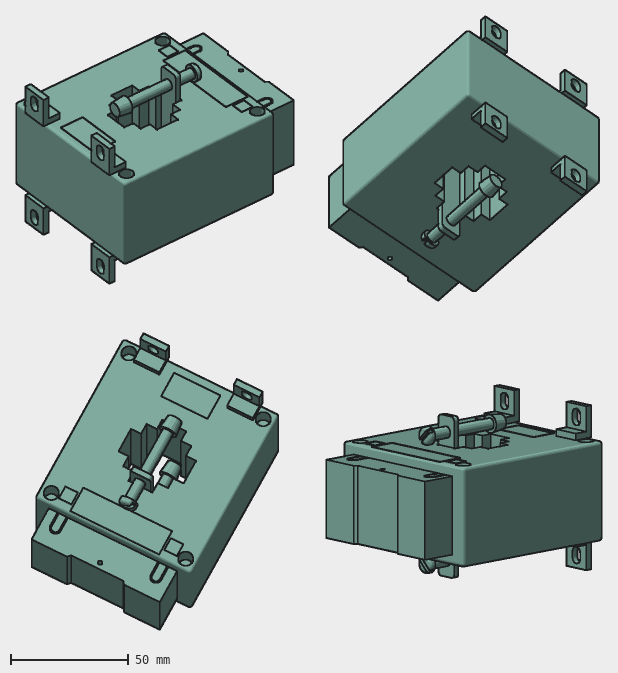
import cadquery as cq
import math


HOUSING_X = 75.0
HOUSING_Y = 81.8
HOUSING_Z = 43.5
HOUSING_FILLET = 1.5
HALF_Y = HOUSING_Y / 2
HALF_Z = HOUSING_Z / 2

WINDOW_LARGE = 15.6
WINDOW_MIDDLE = 10.8
WINDOW_SMALL = 5.7
WINDOW_STEPS = [
    (WINDOW_LARGE, WINDOW_SMALL),
    (WINDOW_MIDDLE, WINDOW_MIDDLE),
    (WINDOW_SMALL, WINDOW_LARGE),
]

POCKET_DIAMETER = 6.4
POCKET_DEPTH = 9.9
POCKET_X = 32.3
POCKET_Y = 35.7

LABEL_DEPTH = 0.2
LABEL_Y = 12.0
RATING_LABEL_X = 42.7
RATING_LABEL_CENTER_Y = 33.3
LINE_LABEL_X = 22.3
LINE_LABEL_CENTER_Y = -30.9
TERMINAL_LABEL_SIDE = 6.0
TERMINAL_LABEL_CENTER_X = 25.3
TERMINAL_LABEL_CENTER_Y = 33.4

TERMINAL_X = 61.7
TERMINAL_Z = 34.2
TERMINAL_DEPTH = 15.9
TERMINAL_END_Y = HALF_Y + TERMINAL_DEPTH
NOTCH_MOUTH_X = 27.5
NOTCH_FLOOR_X = 25.1
NOTCH_DEPTH = 1.4
SEAL_HOLE_DIAMETER = 1.9
SEAL_HOLE_Y = 52.7

ARCH_CENTER_X = 24.2
ARCH_CENTER_Y = 47.5
ARCH_OUTER_RADIUS = 2.5
ARCH_GROOVE_WIDTH = 0.6
ARCH_GROOVE_DEPTH = 0.5

FOOT_WIDTH = 12.4
FOOT_CENTER_X = 22.5
FOOT_THICKNESS = 3
FOOT_OUTER_Y = -42.2
FOOT_LENGTH = 9.0
FOOT_TOP_Z = 35.7
FOOT_SLOT_WIDTH = 4.8
FOOT_SLOT_HEIGHT = 7.2
FOOT_SLOT_Z = 30.1

BAR_WIDTH = 9.8
BAR_THICKNESS = 2.6
BAR_HALF_LENGTH = 35.1
BAR_CORNER_RADIUS = 1.8

SCREW_Z = 27.9
SHAFT_DIAMETER = 5.0
HEAD_DIAMETER = 7.9
HEAD_THICKNESS = 3
HEAD_FILLET = 1.5
HEAD_END_Y = 28.6
HEAD_SLOT_WIDTH = 1.8
HEAD_SLOT_DEPTH = 2
HEAD_SLOT_ANGLE = 45

CAP_START_Y = -9.8
CAP_LENGTH = 6.4
CAP_START_DIAMETER = 8.0
CAP_END_DIAMETER = 6.6


def mirrored_in_z(solid):
    """Return the mirror image of a body on the other side of the XY plane."""
    return solid.mirror("XY")


def housing_block():
    return cq.Workplane("XY").box(HOUSING_X, HOUSING_Y, HOUSING_Z).edges().fillet(HOUSING_FILLET)


def stepped_window():
    cutter = cq.Workplane("XY")
    for half_x, half_y in WINDOW_STEPS:
        cutter = cutter.union(cq.Workplane("XY").box(2 * half_x, 2 * half_y, HOUSING_Z))
    return cutter


def corner_pockets():
    return (
        cq.Workplane("XY", origin=(0, 0, HALF_Z))
        .rect(2 * POCKET_X, 2 * POCKET_Y, forConstruction=True)
        .vertices()
        .circle(POCKET_DIAMETER / 2)
        .extrude(-POCKET_DEPTH)
    )


def label_recess(center_x, center_y, size_x, size_y):
    return (
        cq.Workplane("XY", origin=(center_x, center_y, HALF_Z))
        .rect(size_x, size_y)
        .extrude(-LABEL_DEPTH)
    )


def label_recesses():
    recesses = label_recess(0, RATING_LABEL_CENTER_Y, RATING_LABEL_X, LABEL_Y)
    recesses = recesses.union(label_recess(0, LINE_LABEL_CENTER_Y, LINE_LABEL_X, LABEL_Y))
    for side in (-1, 1):
        terminal_label = label_recess(
            side * TERMINAL_LABEL_CENTER_X,
            TERMINAL_LABEL_CENTER_Y,
            TERMINAL_LABEL_SIDE,
            TERMINAL_LABEL_SIDE,
        )
        recesses = recesses.union(terminal_label)
    return recesses


def arch(radius):
    """Solid arch of the given radius, open towards the housing."""
    return (
        cq.Workplane("XY", origin=(ARCH_CENTER_X, 0, TERMINAL_Z / 2))
        .moveTo(-radius, HALF_Y)
        .lineTo(-radius, ARCH_CENTER_Y)
        .threePointArc((0, ARCH_CENTER_Y + radius), (radius, ARCH_CENTER_Y))
        .lineTo(radius, HALF_Y)
        .close()
        .extrude(-ARCH_GROOVE_DEPTH)
    )


def terminal_block():
    notch_floor_y = TERMINAL_END_Y - NOTCH_DEPTH
    block = (
        cq.Workplane("XY")
        .moveTo(-TERMINAL_X / 2, 0)
        .lineTo(-TERMINAL_X / 2, TERMINAL_END_Y)
        .lineTo(-NOTCH_MOUTH_X / 2, TERMINAL_END_Y)
        .lineTo(-NOTCH_FLOOR_X / 2, notch_floor_y)
        .lineTo(NOTCH_FLOOR_X / 2, notch_floor_y)
        .lineTo(NOTCH_MOUTH_X / 2, TERMINAL_END_Y)
        .lineTo(TERMINAL_X / 2, TERMINAL_END_Y)
        .lineTo(TERMINAL_X / 2, 0)
        .close()
        .extrude(TERMINAL_Z / 2, both=True)
    )
    seal_hole = (
        cq.Workplane("XY")
        .center(0, SEAL_HOLE_Y)
        .circle(SEAL_HOLE_DIAMETER / 2)
        .extrude(TERMINAL_Z / 2, both=True)
    )
    groove = arch(ARCH_OUTER_RADIUS).cut(arch(ARCH_OUTER_RADIUS - ARCH_GROOVE_WIDTH))
    return block.cut(seal_hole).cut(groove).cut(groove.mirror("YZ"))


def angle_foot(center_x):
    """L-shaped foot on the top face, with its upright plate past the -Y face."""
    upright_inner_y = FOOT_OUTER_Y + FOOT_THICKNESS
    base_top_z = HALF_Z + FOOT_THICKNESS
    profile = [
        (FOOT_OUTER_Y, HALF_Z),
        (FOOT_OUTER_Y, FOOT_TOP_Z),
        (upright_inner_y, FOOT_TOP_Z),
        (upright_inner_y, base_top_z),
        (FOOT_OUTER_Y + FOOT_LENGTH, base_top_z),
        (FOOT_OUTER_Y + FOOT_LENGTH, HALF_Z),
    ]
    angle = (
        cq.Workplane("YZ", origin=(center_x, 0, 0))
        .polyline(profile)
        .close()
        .extrude(FOOT_WIDTH / 2, both=True)
    )
    slot = (
        cq.Workplane("XZ", origin=(center_x, FOOT_OUTER_Y, FOOT_SLOT_Z))
        .slot2D(FOOT_SLOT_HEIGHT, FOOT_SLOT_WIDTH, 90)
        .extrude(-FOOT_THICKNESS)
    )
    return angle.cut(slot)


def make_housing():
    housing = housing_block().union(terminal_block())
    housing = housing.cut(stepped_window()).cut(corner_pockets()).cut(label_recesses())
    for side in (-1, 1):
        foot = angle_foot(side * FOOT_CENTER_X)
        housing = housing.union(foot).union(mirrored_in_z(foot))
    return housing


def make_clamp_bar():
    back_y = WINDOW_LARGE
    bar = (
        cq.Workplane("XZ", origin=(0, back_y, 0))
        .rect(BAR_WIDTH, 2 * BAR_HALF_LENGTH)
        .extrude(BAR_THICKNESS)
        .edges("|Y")
        .fillet(BAR_CORNER_RADIUS)
    )
    screw_holes = (
        cq.Workplane("XZ", origin=(0, back_y, 0))
        .pushPoints([(0, -SCREW_Z), (0, SCREW_Z)])
        .circle(SHAFT_DIAMETER / 2)
        .extrude(BAR_THICKNESS)
    )
    return bar.cut(screw_holes)


def make_screw():
    """Slotted screw above the housing, its head towards +Y."""
    head = (
        cq.Workplane("XZ", origin=(0, HEAD_END_Y, SCREW_Z))
        .circle(HEAD_DIAMETER / 2)
        .extrude(HEAD_THICKNESS)
        .faces(">Y")
        .edges()
        .fillet(HEAD_FILLET)
    )
    slot = (
        cq.Workplane("XZ", origin=(0, HEAD_END_Y, SCREW_Z))
        .transformed(rotate=(0, 0, -HEAD_SLOT_ANGLE))
        .rect(2 * HEAD_DIAMETER, HEAD_SLOT_WIDTH)
        .extrude(HEAD_SLOT_DEPTH)
    )
    underside_y = HEAD_END_Y - HEAD_THICKNESS
    shaft = (
        cq.Workplane("XZ", origin=(0, underside_y, SCREW_Z))
        .circle(SHAFT_DIAMETER / 2)
        .extrude(underside_y - CAP_START_Y)
    )
    return head.cut(slot).union(shaft)


def make_cap():
    """Tapered cap on the end of the screw above the housing."""
    taper = math.degrees(math.atan((CAP_START_DIAMETER - CAP_END_DIAMETER) / 2 / CAP_LENGTH))
    return (
        cq.Workplane("XZ", origin=(0, CAP_START_Y, SCREW_Z))
        .circle(CAP_START_DIAMETER / 2)
        .extrude(CAP_LENGTH, taper=taper)
    )


housing = make_housing()
clamp_bar = make_clamp_bar()
upper_screw = make_screw()
upper_cap = make_cap()
screws = [upper_screw, mirrored_in_z(upper_screw)]
caps = [upper_cap, mirrored_in_z(upper_cap)]

result = cq.Compound.makeCompound([body.val() for body in [housing, clamp_bar, *screws, *caps]])